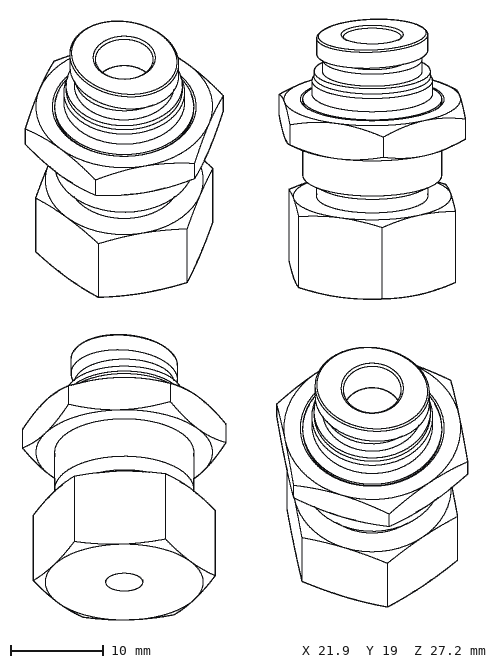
import cadquery as cq
import math

hex_top = 8.98
groove_top = 10.5
thread_bottom = 11.35
nut_bottom = 15.95
thread_top = 19.95
nut_top = 19.9
shoulder_bottom = 20.54
rim_bottom = 22.03
rim_top = 22.47
ledge_top = 23.07
housing_top = 24.43
cap_bottom = 25.21
total_height = 27.2

housing_flats = 17.0
housing_hex_chamfer_angle = 20
neck_diameter = 12.0
thread_diameter = 15.0
shoulder_diameter = 13.0
ledge_diameter = 12.55
collar_diameter = 10.75
flow_diameter = 4.0
tube_seat_diameter = 6.15
tube_stop = thread_bottom

nut_flats = 19.0
nut_chamfer_angle = 30
nut_bore_chamfer = 0.25

sleeve_diameter = 7.5
sleeve_bore_diameter = 6.2
sleeve_bore_chamfer = 0.25
sleeve_bottom = ledge_top
cap_length = 12.45
cap_width = 11.02
cap_chamfer = 0.2


def cylinder(diameter, bottom, top):
    return cq.Workplane("XY").workplane(offset=bottom).circle(diameter / 2).extrude(top - bottom)


def revolve_half_section(points):
    """Turn a closed (radius, height) outline about the Z axis."""
    return cq.Workplane("XZ").polyline(points).close().revolve(360, (0, 0), (0, 1))


def chamfered_hexagon(flats, bottom, top, chamfer_angle):
    """Hexagon with corners on the X axis, its corners turned down by a cone at both ends."""
    corner_radius = flats / math.sqrt(3)
    flat_radius = flats / 2
    drop = (corner_radius - flat_radius) * math.tan(math.radians(chamfer_angle))
    prism = (
        cq.Workplane("XY")
        .workplane(offset=bottom)
        .polygon(6, 2 * corner_radius)
        .extrude(top - bottom)
    )
    envelope = revolve_half_section([
        (0, bottom),
        (flat_radius, bottom),
        (corner_radius, bottom + drop),
        (corner_radius, top - drop),
        (flat_radius, top),
        (0, top),
    ])
    return prism.intersect(envelope)


def make_housing():
    hexagon = chamfered_hexagon(housing_flats, 0, hex_top, housing_hex_chamfer_angle)
    stem = revolve_half_section([
        (0, hex_top),
        (neck_diameter / 2, hex_top),
        (neck_diameter / 2, groove_top),
        (thread_diameter / 2, thread_bottom),
        (thread_diameter / 2, thread_top),
        (shoulder_diameter / 2, shoulder_bottom),
        (shoulder_diameter / 2, rim_bottom),
        (ledge_diameter / 2, rim_top),
        (ledge_diameter / 2, ledge_top),
        (collar_diameter / 2, ledge_top),
        (collar_diameter / 2, housing_top),
        (0, housing_top),
    ])
    flow_hole = cylinder(flow_diameter, 0, tube_stop)
    tube_seat = cylinder(tube_seat_diameter, tube_stop, sleeve_bottom)
    sleeve_recess = cylinder(sleeve_diameter, sleeve_bottom, housing_top)
    return hexagon.union(stem).cut(flow_hole).cut(tube_seat).cut(sleeve_recess)


def make_nut():
    hexagon = chamfered_hexagon(nut_flats, nut_bottom, nut_top, nut_chamfer_angle)
    bore_radius = thread_diameter / 2
    bore = revolve_half_section([
        (0, nut_bottom),
        (bore_radius, nut_bottom),
        (bore_radius, nut_top - nut_bore_chamfer),
        (bore_radius + nut_bore_chamfer, nut_top),
        (0, nut_top),
    ])
    return hexagon.cut(bore)


def make_cap():
    """Elliptical push cap with a chamfered top edge."""
    cap = (
        cq.Workplane("XY")
        .workplane(offset=cap_bottom)
        .ellipse(cap_length / 2, cap_width / 2)
        .extrude(total_height - cap_bottom)
    )
    return cap.faces(">Z").chamfer(cap_chamfer)


def make_sleeve():
    bore_radius = sleeve_bore_diameter / 2
    bore = revolve_half_section([
        (0, sleeve_bottom),
        (bore_radius, sleeve_bottom),
        (bore_radius, total_height - sleeve_bore_chamfer),
        (bore_radius + sleeve_bore_chamfer, total_height),
        (0, total_height),
    ])
    tube = cylinder(sleeve_diameter, sleeve_bottom, cap_bottom)
    return make_cap().union(tube).cut(bore)


housing = make_housing()
nut = make_nut()
sleeve = make_sleeve()

result = cq.Compound.makeCompound([housing.val(), nut.val(), sleeve.val()])